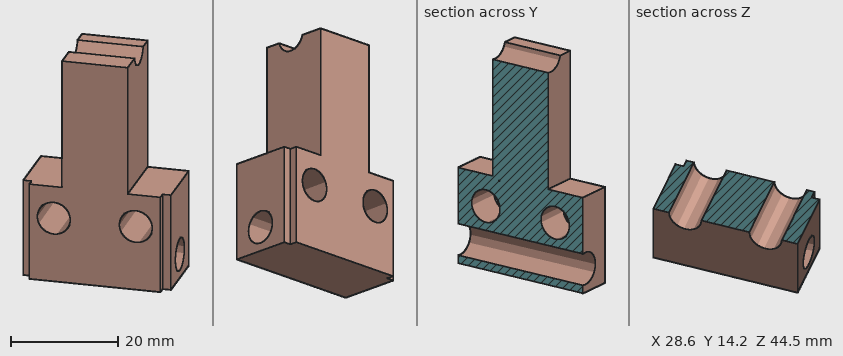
import cadquery as cq

total_height = 44.45
base_width = 28.6
base_height = 19.05
depth = 14.25
stem_width = 12.7
step = 1.6
hole_diameter = 6.35
front_hole_spacing = 15.85
front_hole_height = 12.7
cross_hole_height = 4.75
groove_depth = 2.35

body_depth = depth - step
cross_axis_y = -body_depth / 2
groove_axis_height = total_height - groove_depth + hole_diameter / 2


def block(width, height):
    """Full-depth block standing on Z = 0, centred in X."""
    return cq.Workplane("XY").box(width, depth, height, centered=(True, False, False)).translate((0, -depth, 0))


def cylinder_along_x(length, height):
    """Cylinder centred in X, on the middle of the rebated side faces."""
    return (
        cq.Workplane("YZ")
        .center(cross_axis_y, height)
        .circle(hole_diameter / 2)
        .extrude(length)
        .translate((-length / 2, 0, 0))
    )


result = block(base_width, base_height).union(block(stem_width, total_height))

for side in (-1, 1):
    rebate = (
        cq.Workplane("XY")
        .center(side * (base_width - step) / 2, -depth + step / 2)
        .rect(step, step)
        .extrude(base_height)
    )
    front_hole = (
        cq.Workplane("XZ")
        .center(side * front_hole_spacing / 2, front_hole_height)
        .circle(hole_diameter / 2)
        .extrude(depth)
    )
    result = result.cut(rebate).cut(front_hole)

result = result.cut(cylinder_along_x(base_width, cross_hole_height))
result = result.cut(cylinder_along_x(stem_width, groove_axis_height))